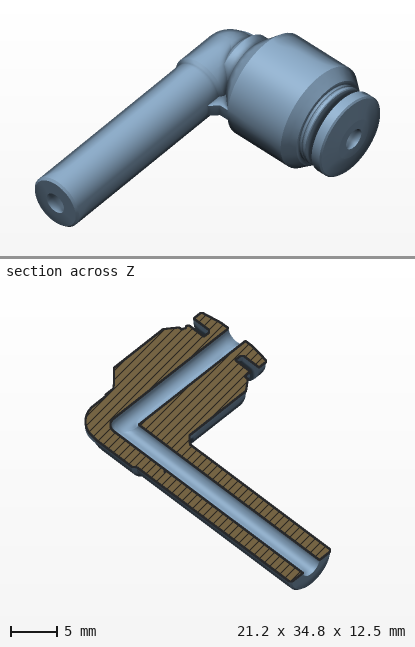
import cadquery as cq


stem_radius = 6.35 / 2
stem_end_y = -28.5
stem_chamfer = 0.25
elbow_radius = 3.5
sleeve_end_y = -5.35
sleeve_chamfer_length = 0.45

shoulder_radius = 4.25
shoulder_cone_start_x = 1.0
shoulder_cone_end_x = shoulder_cone_start_x + shoulder_radius - elbow_radius
shoulder_end_x = 3.0
body_radius = 12.5 / 2
body_start_x = 5.1
body_end_x = 12.75
front_cone_end_x = 14.1
front_cone_end_radius = 5.2

ring_radius = 9.5 / 2
ring_end_x = 15.05
ring_chamfer = 0.1
groove_start_x = 14.38
groove_width = 0.28
groove_depth = 0.1
groove_wall_slant = 0.08

neck_radius = 4.77 / 2
neck_flare = 0.28
collar_radius = 9.9 / 2
collar_start_x = 16.05
collar_rim_x = 17.33
collar_rim_chamfer = 0.18
collar_face_radius = 2.4
collar_end_x = 17.73

bore_radius = 2.5 / 2

rib_thickness = 1.5
outer_rib_left_x = -3.4
outer_rib_top_y = 4.1
outer_rib_arc_radius = 3.2
gusset_chamfer_start_x = 4.05


def make_stem():
    """Plug stem with its sleeve, revolved about the Y axis."""
    return (
        cq.Workplane("XY")
        .lineTo(elbow_radius, 0)
        .lineTo(elbow_radius, sleeve_end_y + sleeve_chamfer_length)
        .lineTo(stem_radius, sleeve_end_y)
        .lineTo(stem_radius, stem_end_y + stem_chamfer)
        .lineTo(stem_radius - stem_chamfer, stem_end_y)
        .lineTo(0, stem_end_y)
        .close()
        .revolve(360, (0, 0), (0, 1))
    )


def make_socket():
    """Socket body, retaining ring and release collar, revolved about the X axis."""
    groove_end_x = groove_start_x + groove_width
    groove_radius = ring_radius - groove_depth
    return (
        cq.Workplane("XY")
        .lineTo(0, elbow_radius)
        .lineTo(shoulder_cone_start_x, elbow_radius)
        .lineTo(shoulder_cone_end_x, shoulder_radius)
        .lineTo(shoulder_end_x, shoulder_radius)
        .lineTo(body_start_x, body_radius)
        .lineTo(body_end_x, body_radius)
        .lineTo(front_cone_end_x, front_cone_end_radius)
        .lineTo(front_cone_end_x, ring_radius)
        .lineTo(groove_start_x, ring_radius)
        .lineTo(groove_start_x + groove_wall_slant, groove_radius)
        .lineTo(groove_end_x - groove_wall_slant, groove_radius)
        .lineTo(groove_end_x, ring_radius)
        .lineTo(ring_end_x - ring_chamfer, ring_radius)
        .lineTo(ring_end_x, ring_radius - ring_chamfer)
        .lineTo(ring_end_x, neck_radius)
        .lineTo(collar_start_x - neck_flare, neck_radius)
        .lineTo(collar_start_x, neck_radius + neck_flare)
        .lineTo(collar_start_x, collar_radius)
        .lineTo(collar_rim_x - collar_rim_chamfer, collar_radius)
        .lineTo(collar_rim_x, collar_radius - collar_rim_chamfer)
        .lineTo(collar_end_x, collar_face_radius)
        .lineTo(collar_end_x, 0)
        .close()
        .revolve(360, (0, 0), (1, 0))
    )


def make_outer_rib():
    """Rounded rib around the outside of the elbow."""
    return (
        cq.Workplane("XY")
        .lineTo(outer_rib_left_x, 0)
        .lineTo(outer_rib_left_x, outer_rib_top_y - outer_rib_arc_radius)
        .radiusArc((outer_rib_left_x + outer_rib_arc_radius, outer_rib_top_y), outer_rib_arc_radius)
        .lineTo(shoulder_end_x, outer_rib_top_y)
        .lineTo(shoulder_end_x, 0)
        .close()
        .extrude(rib_thickness / 2, both=True)
    )


def make_gusset():
    """Gusset in the inner corner, running at 45 degrees down to the stem."""
    gusset_stem_y = -body_radius - gusset_chamfer_start_x
    return (
        cq.Workplane("XY")
        .lineTo(body_start_x, 0)
        .lineTo(body_start_x, -body_radius)
        .lineTo(gusset_chamfer_start_x, -body_radius)
        .lineTo(0, gusset_stem_y)
        .close()
        .extrude(rib_thickness / 2, both=True)
    )


def make_passage():
    """Round passage through the stem and the socket with a spherical corner."""
    stem_bore = cq.Workplane("XZ").circle(bore_radius).extrude(-stem_end_y)
    socket_bore = cq.Workplane("YZ").circle(bore_radius).extrude(collar_end_x)
    corner = cq.Workplane("XY").sphere(bore_radius)
    return stem_bore.union(socket_bore).union(corner)


elbow_ball = cq.Workplane("XY").sphere(elbow_radius)
solid_fitting = (
    make_stem()
    .union(make_socket())
    .union(elbow_ball)
    .union(make_outer_rib())
    .union(make_gusset())
)
result = solid_fitting.cut(make_passage())